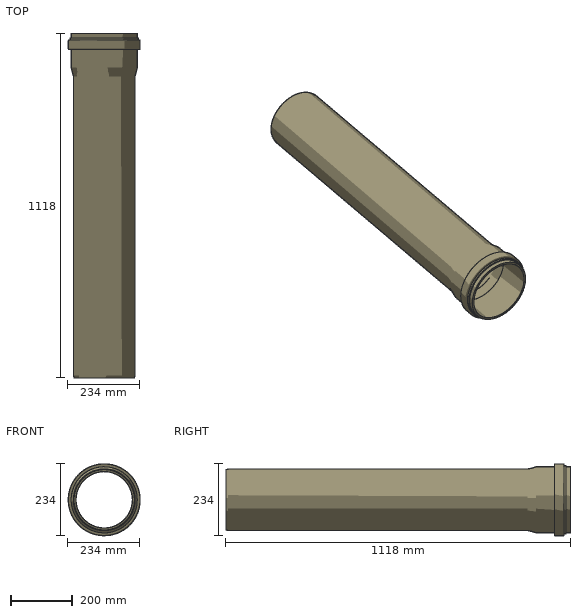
import cadquery as cq

length = 1118.0
pipe_radius = 200.0 / 2
bore_radius = 182.0 / 2
socket_radius = 215.0 / 2
socket_bore_radius = 201.0 / 2
shoulder_radius = 221.0 / 2
collar_radius = 234.0 / 2

shoulder_start = 15.0
collar_start = 21.0
collar_end = 53.0
socket_end = 112.0
taper_end = 140.0

collar_fillet = 3.0
spigot_chamfer_length = 8.0
spigot_chamfer_depth = 2.0

spigot_y = -length / 2
mouth_y = length / 2


def revolve_about_y(points):
    """Revolve a closed (radius, y) outline around the pipe axis."""
    outline = cq.Workplane("XY").polyline(points).close()
    return outline.revolve(360, (0, 0, 0), (0, 1, 0))


def make_sleeve():
    """Solid envelope of the spigot, taper, socket, and stepped shoulder."""
    return revolve_about_y([
        (0, spigot_y),
        (pipe_radius - spigot_chamfer_depth, spigot_y),
        (pipe_radius, spigot_y + spigot_chamfer_length),
        (pipe_radius, mouth_y - taper_end),
        (socket_radius, mouth_y - socket_end),
        (socket_radius, mouth_y - collar_end),
        (shoulder_radius, mouth_y - collar_end),
        (shoulder_radius, mouth_y - shoulder_start),
        (socket_radius, mouth_y - shoulder_start),
        (socket_radius, mouth_y),
        (0, mouth_y),
    ])


def make_collar():
    """Solid collar disc with both outer edges rounded."""
    disc = revolve_about_y([
        (0, mouth_y - collar_end),
        (collar_radius, mouth_y - collar_end),
        (collar_radius, mouth_y - collar_start),
        (0, mouth_y - collar_start),
    ])
    return disc.edges("%CIRCLE").fillet(collar_fillet)


def make_bore():
    """Through bore that opens into the wider socket along the taper."""
    return revolve_about_y([
        (0, spigot_y),
        (bore_radius, spigot_y),
        (bore_radius, mouth_y - taper_end),
        (socket_bore_radius, mouth_y - socket_end),
        (socket_bore_radius, mouth_y),
        (0, mouth_y),
    ])


result = make_sleeve().union(make_collar()).cut(make_bore())